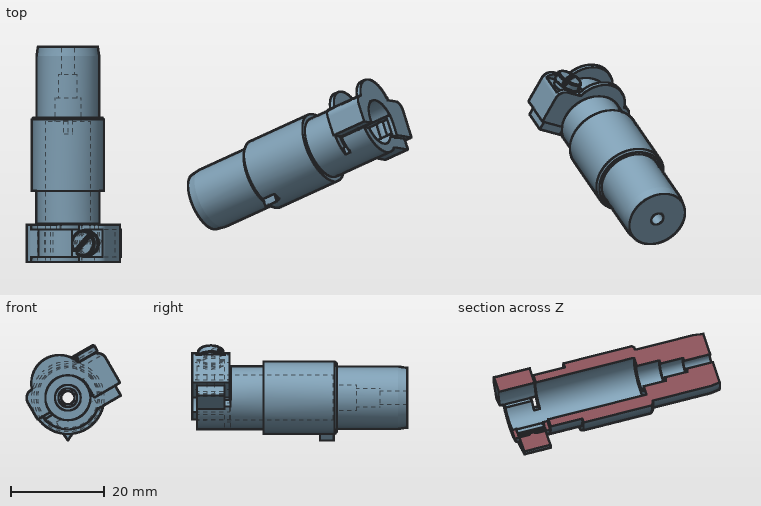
import cadquery as cq
import math

CLAMP_TILT = 30.0

BODY_START = 8.2
BODY_END = 45.9
BODY_R = 13.5 / 2
REAR_R = 13.4 / 2
TIP_R = 6.4
TIP_LENGTH = 2.0
SLEEVE_START = 15.2
SLEEVE_END = 30.85
SLEEVE_R = 15.5 / 2
SLEEVE_CHAMFER = 0.5

CABLE_BORE_R = 9.6 / 2
BORE_STEPS = ((2 * CABLE_BORE_R, 30.0), (5.5, 35.0), (4.0, 40.0), (2.8, BODY_END))

POINTER_START = 27.25
POINTER_LENGTH = 2.95
POINTER_HALF_WIDTH = 0.95
POINTER_TIP_R = 9.12

CLAMP_WIDTH = 8.0
FLANGE_WIDTH = 1.05
GROOVE_END = CLAMP_WIDTH - FLANGE_WIDTH
GROOVE_WIDTH = GROOVE_END - FLANGE_WIDTH
RELIEF_R = 9.8 / 2
RELIEF_TOP = 1.8
CAP_LEFT = -7.92
CAP_RIGHT = 11.24
CAP_TOP = 5.35
CAP_CORNER_R = 2.0
CAP_LEFT_FOOT = -0.8
CAP_RIGHT_FOOT = -2.8
FLANGE_ARCH_R = 6.05
FLANGE_ARCH_HEIGHT = 3.55
GROOVE_R = BODY_R
RECESS_FLOOR = 4.25

SHELL_LEFT_TOP = -1.5
SHELL_RIGHT_TOP = -2.2
LUG_RIGHT = 10.03
LUG_BOTTOM = -5.25
NECK_HALF_WIDTH = 4.72
NECK_TOP = -3.27

SCREW_X = 7.7
SCREW_Y = CLAMP_WIDTH / 2
HEAD_R = 5.5 / 2
HEAD_CHAMFER = 0.25
HEAD_BOTTOM = 5.42
HEAD_TOP = 7.02
COLLAR_R = 4.78 / 2
SHANK_R = 2.5 / 2
SLOT_WIDTH = 0.75
SLOT_DEPTH = 1.0
SLOT_ANGLE = 45.0


def cylinder_y(radius, start, end, center_x=0.0, center_z=0.0):
    """Cylinder along Y between two Y positions."""
    plane = cq.Workplane("XZ", origin=(center_x, start, center_z))
    return plane.circle(radius).extrude(start - end)


def block(left, right, start, end, bottom, top):
    """Axis-aligned box given by its limits in X, Y and Z."""
    size = (right - left, end - start, top - bottom)
    return cq.Workplane("XY").box(*size, centered=False).translate((left, start, bottom))


def tilt(shape):
    """Turn a level clamp part to its final angle about the body axis."""
    return shape.rotate((0, 0, 0), (0, 1, 0), -CLAMP_TILT)


def make_body():
    profile = [
        (0, BODY_START),
        (BODY_R, BODY_START),
        (BODY_R, SLEEVE_START),
        (SLEEVE_R, SLEEVE_START),
        (SLEEVE_R, SLEEVE_END - SLEEVE_CHAMFER),
        (SLEEVE_R - SLEEVE_CHAMFER, SLEEVE_END),
        (REAR_R, SLEEVE_END),
        (REAR_R, BODY_END - TIP_LENGTH),
        (TIP_R, BODY_END),
        (0, BODY_END),
    ]
    body = cq.Workplane("XY").polyline(profile).close().revolve(360, (0, 0), (0, 1))
    for diameter, step_end in BORE_STEPS:
        body = body.cut(cylinder_y(diameter / 2, BODY_START, step_end))
    return body


def make_pointer():
    """Triangular rib whose flat root is sunk into the sleeve."""
    root_z = -math.sqrt(SLEEVE_R**2 - POINTER_HALF_WIDTH**2)
    plane = cq.Workplane("XZ", origin=(0, POINTER_START, 0))
    outline = [(-POINTER_HALF_WIDTH, root_z), (POINTER_HALF_WIDTH, root_z), (0, -POINTER_TIP_R)]
    return plane.polyline(outline).close().extrude(-POINTER_LENGTH)


def make_shell():
    """Lower half shell with its screw lug, joined to the body by a narrower neck."""
    shell = cylinder_y(BODY_R, FLANGE_WIDTH, GROOVE_END)
    shell = shell.cut(block(-BODY_R, 0, FLANGE_WIDTH, GROOVE_END, SHELL_LEFT_TOP, BODY_R))
    shell = shell.cut(block(0, BODY_R, FLANGE_WIDTH, GROOVE_END, SHELL_RIGHT_TOP, BODY_R))
    shell = shell.union(block(0, LUG_RIGHT, FLANGE_WIDTH, GROOVE_END, LUG_BOTTOM, CAP_RIGHT_FOOT))

    neck = cylinder_y(BODY_R, GROOVE_END, BODY_START)
    neck_limits = block(-NECK_HALF_WIDTH, NECK_HALF_WIDTH, GROOVE_END, BODY_START, -BODY_R, NECK_TOP)
    shell = shell.union(neck.intersect(neck_limits))
    return shell.cut(cylinder_y(CABLE_BORE_R, 0, BODY_START))


def make_cap():
    """Upper clamp half: rounded slab with two arched flanges and a groove between them."""
    slab = block(CAP_LEFT, CAP_RIGHT, 0, CLAMP_WIDTH, CAP_RIGHT_FOOT, CAP_TOP)
    slab = slab.edges("|Y and >Z").fillet(CAP_CORNER_R)
    slab = slab.cut(block(CAP_LEFT, 0, 0, CLAMP_WIDTH, CAP_RIGHT_FOOT, CAP_LEFT_FOOT))

    strap = cylinder_y(GROOVE_R, FLANGE_WIDTH, GROOVE_END)
    upper_side = block(CAP_LEFT, CAP_RIGHT, 0, CLAMP_WIDTH, 0, CAP_RIGHT)
    cap = slab.union(strap.intersect(upper_side))
    for start in (0, GROOVE_END):
        arch = cylinder_y(FLANGE_ARCH_R, start, start + FLANGE_WIDTH, 0, FLANGE_ARCH_HEIGHT)
        cap = cap.union(arch.intersect(upper_side))

    return cap.cut(make_screw_recess()).cut(make_cap_hollow())


def make_screw_recess():
    """Recess under the screw head, round on the left and open through the right corner."""
    depth = CAP_TOP - RECESS_FLOOR
    plane = cq.Workplane("XY", origin=(SCREW_X, SCREW_Y, RECESS_FLOOR))
    round_end = plane.circle(GROOVE_WIDTH / 2).extrude(depth)
    open_end = block(SCREW_X, CAP_RIGHT, FLANGE_WIDTH, GROOVE_END, RECESS_FLOOR, CAP_TOP)
    return round_end.union(open_end)


def make_cap_hollow():
    """Cable bore, its wider right side, and the pocket that receives the half shell."""
    bore = cylinder_y(CABLE_BORE_R, 0, CLAMP_WIDTH)
    relief = cylinder_y(RELIEF_R, 0, CLAMP_WIDTH)
    relief = relief.intersect(block(0, RELIEF_R, 0, CLAMP_WIDTH, 0, RELIEF_TOP))
    foot = block(0, RELIEF_R, 0, CLAMP_WIDTH, CAP_RIGHT_FOOT, 0)
    shell_pocket = block(0, BODY_R, FLANGE_WIDTH, GROOVE_END, CAP_RIGHT_FOOT, RELIEF_TOP)
    return bore.union(relief).union(foot).union(shell_pocket)


def make_screw():
    """Slotted screw whose collar rests in the recess and whose shank ends in the lug."""
    floor_plane = cq.Workplane("XY", origin=(SCREW_X, SCREW_Y, RECESS_FLOOR))
    shank = floor_plane.circle(SHANK_R).extrude(LUG_BOTTOM - RECESS_FLOOR)
    collar = floor_plane.circle(COLLAR_R).extrude(HEAD_BOTTOM - RECESS_FLOOR)
    head = (
        cq.Workplane("XY", origin=(SCREW_X, SCREW_Y, HEAD_BOTTOM))
        .circle(HEAD_R)
        .extrude(HEAD_TOP - HEAD_BOTTOM)
        .faces(">Z")
        .chamfer(HEAD_CHAMFER)
    )
    slot = (
        cq.Workplane("XY", origin=(SCREW_X, SCREW_Y, HEAD_TOP))
        .transformed(rotate=(0, 0, SLOT_ANGLE))
        .rect(2 * HEAD_R, SLOT_WIDTH)
        .extrude(-SLOT_DEPTH)
    )
    return head.cut(slot).union(collar).union(shank)


clamp = make_shell().union(make_cap()).union(make_screw())
result = make_body().union(make_pointer()).union(tilt(clamp))